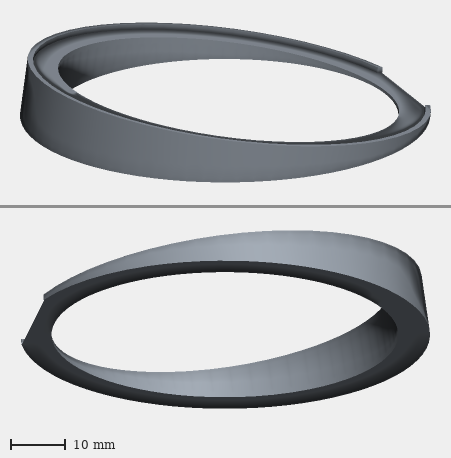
import cadquery as cq
import math

tilt = math.radians(8.0)
outer_radius = 37.5
recess_radius = 36.5
hole_radius = 31.7
front_height = 11.07
recess_depth = 1.0
length = 73.27
gap_width = 22.7

flat_y = length - outer_radius
rim_front_y = -outer_radius + front_height * math.tan(tilt)
base_to_rim = front_height * math.cos(tilt) + rim_front_y * math.sin(tilt)
body_depth = base_to_rim + outer_radius
clear_size = 4 * outer_radius

axis_y = math.sin(tilt)
axis_z = math.cos(tilt)
rim = cq.Plane(
    origin=(0, base_to_rim * axis_y, base_to_rim * axis_z),
    xDir=(1, 0, 0),
    normal=(0, axis_y, axis_z),
)


def leaning_cylinder(base_radius, depth):
    """Elliptic cylinder below the rim that meets the base plane in a circle."""
    return cq.Workplane(rim).ellipse(base_radius, base_radius * math.cos(tilt)).extrude(-depth)


def base_and_flat_limits():
    """Block above the base plane and in front of the flat."""
    block = cq.Workplane("XY").box(clear_size, clear_size, clear_size, centered=(True, False, False))
    return block.translate((0, flat_y - clear_size, 0))


def lip_gap():
    """Opening through the lip at the flat, down to the recess floor."""
    return cq.Workplane(rim).center(0, outer_radius).rect(gap_width, outer_radius).extrude(-recess_depth)


body = leaning_cylinder(outer_radius, body_depth).intersect(base_and_flat_limits())
ring = body.cut(leaning_cylinder(hole_radius, body_depth))
recessed_ring = ring.cut(leaning_cylinder(recess_radius, recess_depth))
result = recessed_ring.cut(lip_gap())